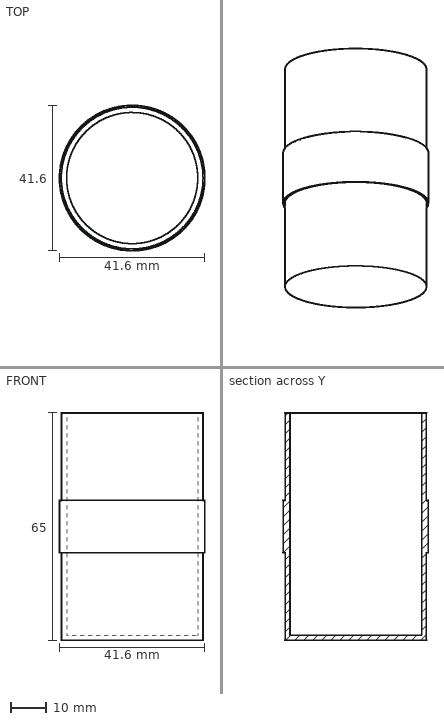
import cadquery as cq

height = 65.0
body_diameter = 40.5
collar_diameter = 41.6
collar_height = 15.0

bore_diameter = 37.5
wall_thickness = (body_diameter - bore_diameter) / 2
floor_thickness = wall_thickness

body = cq.Workplane("XY").circle(body_diameter / 2).extrude(height)

collar_bottom = (height - collar_height) / 2
collar = (
    cq.Workplane("XY")
    .workplane(offset=collar_bottom)
    .circle(collar_diameter / 2)
    .extrude(collar_height)
)

bore = (
    cq.Workplane("XY")
    .workplane(offset=floor_thickness)
    .circle(bore_diameter / 2)
    .extrude(height - floor_thickness)
)

result = body.union(collar).cut(bore)